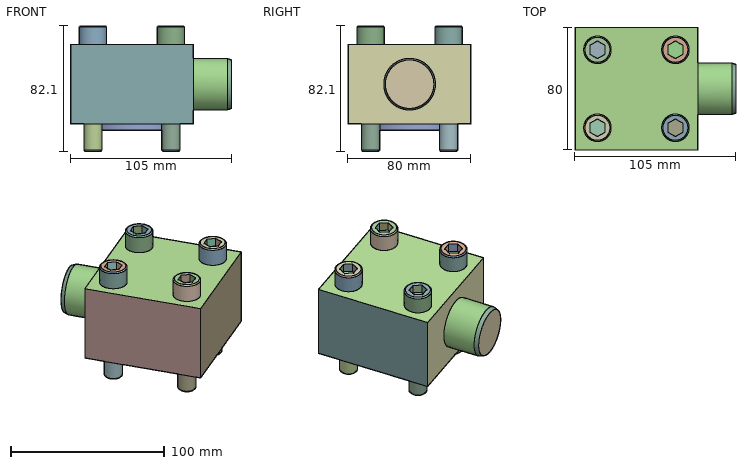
import cadquery as cq
import math

block_side = 80.0
block_height = 51.9
half_side = block_side / 2
half_height = block_height / 2

overall_length = 105
spigot_diameter = 33.7
spigot_length = overall_length - block_side
spigot_chamfer_length = 2.8
spigot_chamfer_depth = 1.0

disc_diameter = 55.0
disc_height = 4.1

screw_pitch = 50.8
shank_diameter = 12.0
shank_projection = 18.1
shank_chamfer = 1.0
head_diameter = 18.0
head_height = 12.1
head_chamfer = 0.8
socket_across_flats = 10.0
socket_depth = 6.0


def make_block():
    return cq.Workplane("XY").box(block_side, block_side, block_height)


def make_spigot():
    """Cylinder on the +X face, tapered at its free end."""
    return (
        cq.Workplane("YZ", origin=(half_side, 0, 0))
        .circle(spigot_diameter / 2)
        .extrude(spigot_length)
        .faces(">X")
        .chamfer(spigot_chamfer_length, spigot_chamfer_depth)
    )


def make_disc():
    return (
        cq.Workplane("XY", origin=(0, 0, -half_height))
        .circle(disc_diameter / 2)
        .extrude(-disc_height)
    )


def make_screw():
    """Screw on the Z axis, its head seated on the top of the block."""
    shank = (
        cq.Workplane("XY", origin=(0, 0, half_height))
        .circle(shank_diameter / 2)
        .extrude(-(block_height + shank_projection))
        .faces("<Z")
        .chamfer(shank_chamfer)
    )
    head = (
        cq.Workplane("XY", origin=(0, 0, half_height))
        .circle(head_diameter / 2)
        .extrude(head_height)
        .faces(">Z")
        .chamfer(head_chamfer)
    )
    socket_across_corners = socket_across_flats / math.cos(math.pi / 6)
    socket = (
        cq.Workplane("XY", origin=(0, 0, half_height + head_height))
        .transformed(rotate=(0, 0, 90))
        .polygon(6, socket_across_corners)
        .extrude(-socket_depth)
    )
    return shank.union(head).cut(socket)


result = make_block().union(make_spigot()).union(make_disc())
for x_side in (-1, 1):
    for y_side in (-1, 1):
        screw_place = (x_side * screw_pitch / 2, y_side * screw_pitch / 2, 0)
        result = result.union(make_screw().translate(screw_place))